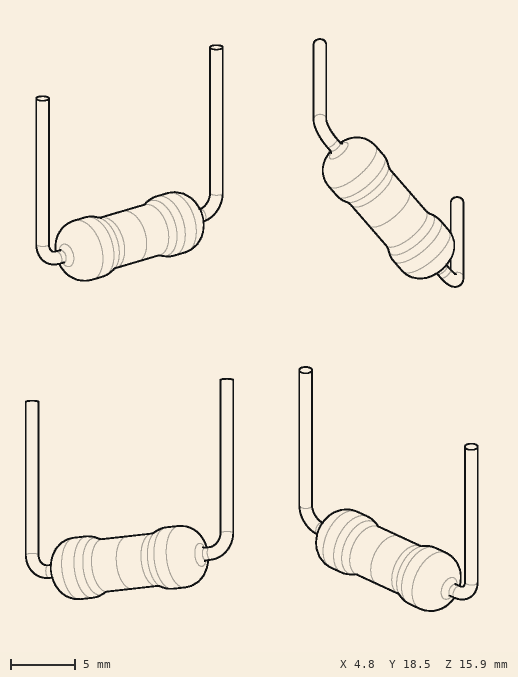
import cadquery as cq
import math

total_length = 18.5
total_height = 15.9
body_radius = 4.8 / 2
waist_radius = 4.09 / 2
lead_radius = 1.0 / 2
bend_radius = 1.5

waist_end = 2.22
shoulder_end = 3.59
cap_end = 4.7

dome_radius = 1.68
neck_fillet_radius = 0.45

lead_y = total_length / 2 - lead_radius
lead_top = total_height - body_radius
bend_start = lead_y - bend_radius

half_run = (shoulder_end - waist_end) / 2
half_rise = (body_radius - waist_radius) / 2
shoulder_radius = (half_run**2 + half_rise**2) / (2 * half_rise)
shoulder_mid = (waist_radius + half_rise, waist_end + half_run)

dome_center_radius = body_radius - dome_radius
neck_center_radius = lead_radius + neck_fillet_radius
center_distance = dome_radius + neck_fillet_radius
center_angle = math.acos((neck_center_radius - dome_center_radius) / center_distance)
neck_start = cap_end + center_distance * math.sin(center_angle)
dome_end = (
    dome_center_radius + dome_radius * math.cos(center_angle),
    cap_end + dome_radius * math.sin(center_angle),
)


def make_half_body():
    """Revolve the +Y half of the body, from its middle to the end of the neck."""
    return (
        cq.Workplane("XY")
        .lineTo(waist_radius, 0)
        .lineTo(waist_radius, waist_end)
        .radiusArc(shoulder_mid, shoulder_radius)
        .radiusArc((body_radius, shoulder_end), -shoulder_radius)
        .lineTo(body_radius, cap_end)
        .radiusArc(dome_end, -dome_radius)
        .radiusArc((lead_radius, neck_start), neck_fillet_radius)
        .lineTo(0, neck_start)
        .close()
        .revolve(360, (0, 0, 0), (0, 1, 0))
    )


def make_lead():
    """Sweep the round lead out of the neck and up to its free end."""
    path = (
        cq.Workplane("YZ")
        .moveTo(neck_start, 0)
        .lineTo(bend_start, 0)
        .radiusArc((lead_y, bend_radius), -bend_radius)
        .lineTo(lead_y, lead_top)
    )
    return cq.Workplane("XZ", origin=(0, neck_start, 0)).circle(lead_radius).sweep(path)


half = make_half_body().union(make_lead())
result = half.union(half.mirror("XZ"))